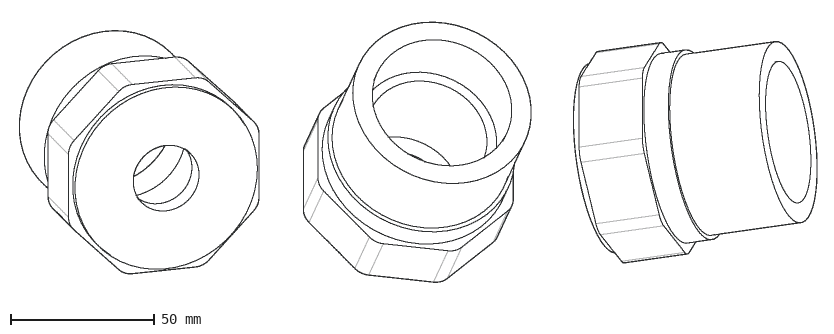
import cadquery as cq
import math

total_length = 68.0
barrel_end = 33.0
hex_start = 42.0
hex_end = 65.3
socket_depth = 24.0
chamber_end = hex_end
cone_slope = 30.0

barrel_diameter = 64.0
collar_diameter = 67.0
across_flats = 70.0
corner_radius = 7.0

socket_diameter = 50.0
chamber_diameter = 43.0
outlet_diameter = 24.15


def cylinder(diameter, start, end):
    """Solid cylinder about X between two axial positions."""
    return cq.Workplane("YZ", origin=(start, 0, 0)).circle(diameter / 2).extrude(end - start)


def octagonal_grip():
    """Octagon with flats facing Y and Z and rounded corners."""
    flat_count = 8
    across_corners = across_flats / math.cos(math.pi / flat_count)
    return (
        cq.Workplane("YZ", origin=(hex_start, 0, 0))
        .transformed(rotate=(0, 0, 180 / flat_count))
        .polygon(flat_count, across_corners)
        .extrude(hex_end - hex_start)
        .edges("|X")
        .fillet(corner_radius)
    )


def stepped_bore():
    """Socket and narrower chamber, with a cone left standing on the chamber floor around the outlet."""
    cone_height = (chamber_diameter - outlet_diameter) / 2 * math.tan(math.radians(cone_slope))
    profile = [
        (0, 0),
        (0, socket_diameter / 2),
        (socket_depth, socket_diameter / 2),
        (socket_depth, chamber_diameter / 2),
        (chamber_end, chamber_diameter / 2),
        (chamber_end - cone_height, outlet_diameter / 2),
        (total_length, outlet_diameter / 2),
        (total_length, 0),
    ]
    return cq.Workplane("XY").polyline(profile).close().revolve(360, (0, 0, 0), (1, 0, 0))


barrel = cylinder(barrel_diameter, 0, barrel_end)
collar = cylinder(collar_diameter, barrel_end, total_length)
result = barrel.union(collar).union(octagonal_grip()).cut(stepped_bore())